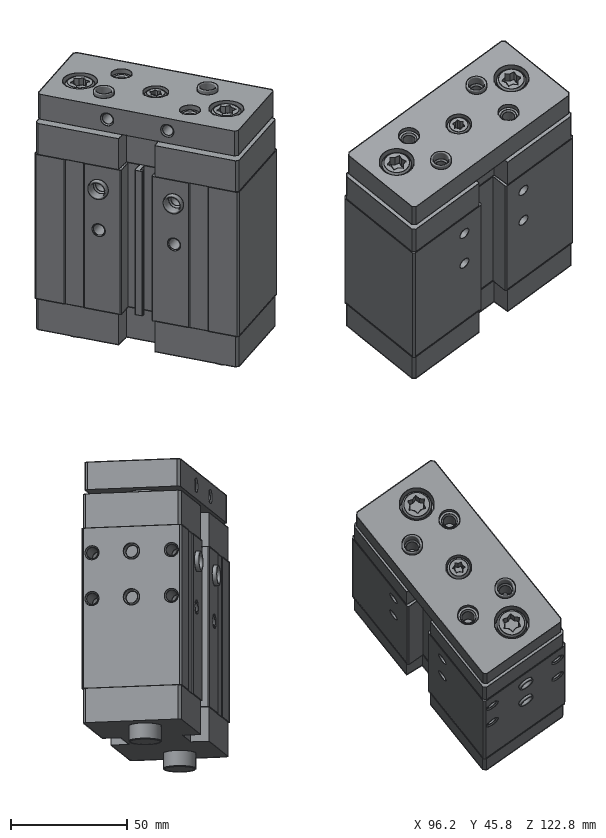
import cadquery as cq
import math


ROD_OVERHANG = 7.0
END_HEIGHT = 15.0
BODY_HEIGHT = 70.0
YOKE_GAP = 2.0
YOKE_HEIGHT = 12.0
HOUSING_BOTTOM = ROD_OVERHANG
BODY_BOTTOM = HOUSING_BOTTOM + END_HEIGHT
BODY_TOP = BODY_BOTTOM + BODY_HEIGHT
HOUSING_TOP = BODY_TOP + END_HEIGHT
YOKE_BOTTOM = HOUSING_TOP + YOKE_GAP
YOKE_TOP = YOKE_BOTTOM + YOKE_HEIGHT

BODY_X = 95.0
BODY_Y = 44.0
BODY_CHAMFER = 0.9
END_INSET = 0.4
END_X = BODY_X - 2 * END_INSET
END_Y = BODY_Y - 2 * END_INSET
CORNER_CHAMFER = 1.2
BODY_CHANNEL_DEPTH = 8.0
END_CHANNEL_DEPTH = 8.4
BODY_CHANNEL_WIDTH = 14.2
LIP_CHAMFER = 0.5
END_CHANNEL_MOUTH = 17.0
END_CHANNEL_FLOOR = 16.0
RIB_WIDTH = 3.7
RIB_WEB = 2.2
RIB_FLANGE = 1.4
RIB_SETBACK = 2.6
RIB_CHAMFER = 0.4
GROOVE_X = 28.9
GROOVE_MOUTH = 9.3
GROOVE_DEPTH = 0.5

UPPER_HOLE_DROP = 10.9
UPPER_HOLE_Z = BODY_TOP - UPPER_HOLE_DROP
HOLE_PITCH = 20.0
LOWER_HOLE_Z = UPPER_HOLE_Z - HOLE_PITCH
HOLE_ROWS = (UPPER_HOLE_Z, LOWER_HOLE_Z)
SIDE_HOLE_SPACING = 35.0
FRONT_HOLE_X = SIDE_HOLE_SPACING / 2
SIDE_HOLE_Y = SIDE_HOLE_SPACING / 2
THREAD_DIA = 5.3
THREAD_MOUTH_DIA = 6.1
SEAT_MOUTH_DIA = 6.8
SIDE_HOLE_DEPTH = 12.3
BLIND_HOLE_DIA = 4.9
TIP_ANGLE = 118

YOKE_X = 93.0
YOKE_Y = 42.0
YOKE_HOLE_X = HOLE_PITCH
YOKE_HOLE_Y = HOLE_PITCH / 2
EDGE_HOLE_X = 14.0
EDGE_HOLE_DEPTH = 8.6
PISTON_ROD_DIA = 10.0
CENTRE_SCREW_RECESS_DIA = 11.0
CENTRE_SCREW_DIA = 10.0
CENTRE_SCREW_TOP_DIA = 8.0
CENTRE_SCREW_SETBACK = 0.5
CENTRE_RECESS_DEPTH = 6.1
CENTRE_SOCKET_DIA = 5.3

ROD_X = 34.0
ROD_Y = -3.0
ROD_DIA = 14.0
ROD_END_CHAMFER = 0.4
NECK_DIA = 8.0
HEAD_DIA = 12.8
HEAD_TOP_DIA = 11.0
HEAD_RECESS_DIA = 15.0
HEAD_RECESS_DEPTH = 8.0
HEAD_SETBACK = 0.5
ROD_SOCKET_DIA = 8.2
SOCKET_DEPTH = 4.9
SOCKET_LOBES = 6
SOCKET_VALLEY_RATIO = 0.72

LARGE_SLEEVE_DIA = 9.0
LARGE_SLEEVE_BORE = 6.8
LARGE_SEAT_DEPTH = 2.2
LARGE_PROJECTION = 1.8
SMALL_SLEEVE_DIA = 7.0
SMALL_SLEEVE_BORE = 5.6
SMALL_SEAT_DEPTH = 1.8
SMALL_PROJECTION = 1.2


def chamfered_block(size_x, size_y, bottom, height, chamfer):
    """Box centred on Z with its four upright corners chamfered."""
    block = cq.Workplane("XY").workplane(offset=bottom).rect(size_x, size_y).extrude(height)
    return block.edges("|Z").chamfer(chamfer)


def axis_plane(origin, direction):
    """Plane whose normal is the axis of a hole or sleeve."""
    x_axis = (1, 0, 0) if direction[0] == 0 else (0, 1, 0)
    return cq.Plane(origin=origin, xDir=x_axis, normal=direction)


def placed_on_axis(section, origin, direction):
    """Section in (radius, distance) coordinates turned into a solid about the given axis."""
    solid = section.revolve(360, (0, 0, 0), (0, 1, 0)).val()
    return cq.Workplane(solid.moved(cq.Location(axis_plane(origin, direction))))


def turned(origin, direction, profile):
    """Solid of revolution from (radius, distance along the axis) points."""
    section = cq.Workplane("XZ").polyline(profile).close()
    return placed_on_axis(section, origin, direction)


def drilled(origin, direction, dia, depth, mouth_dia):
    """Cutter for a hole with a 45-degree mouth chamfer and a drill tip."""
    radius = dia / 2
    mouth = mouth_dia / 2
    tip_length = radius / math.tan(math.radians(TIP_ANGLE / 2))
    profile = [(0, 0), (mouth, 0), (radius, mouth - radius), (radius, depth), (0, depth + tip_length)]
    return turned(origin, direction, profile)


def bored(origin, direction, dia, depth):
    """Plain cylinder from the origin along the direction."""
    return cq.Workplane(axis_plane(origin, direction)).circle(dia / 2).extrude(depth)


def seated_hole(origin, direction, depth):
    """Cutter for a fastening hole that starts at the bottom of a large sleeve seat."""
    seat = bored(origin, direction, LARGE_SLEEVE_DIA, LARGE_SEAT_DEPTH)
    start = axis_plane(origin, direction).toWorldCoords((0, 0, LARGE_SEAT_DEPTH))
    return seat.union(drilled(start, direction, THREAD_DIA, depth, SEAT_MOUTH_DIA))


def star_socket(x, y, top, tip_dia, first_angle):
    """Cutter for a six-pointed screw socket."""
    tip_radius = tip_dia / 2
    valley_radius = tip_radius * SOCKET_VALLEY_RATIO
    point_count = 2 * SOCKET_LOBES
    points = []
    for index in range(point_count):
        radius = tip_radius if index % 2 == 0 else valley_radius
        angle = math.radians(first_angle + 360 * index / point_count)
        points.append((x + radius * math.cos(angle), y + radius * math.sin(angle)))
    return cq.Workplane("XY").workplane(offset=top).polyline(points).close().extrude(-SOCKET_DEPTH)


def end_channel(bottom):
    """Central channel in the -Y face of an end section, tapering from its mouth to its floor."""
    floor_y = -BODY_Y / 2 + END_CHANNEL_DEPTH
    outline = [
        (-END_CHANNEL_MOUTH / 2, -END_Y / 2),
        (END_CHANNEL_MOUTH / 2, -END_Y / 2),
        (END_CHANNEL_FLOOR / 2, floor_y),
        (-END_CHANNEL_FLOOR / 2, floor_y),
    ]
    return cq.Workplane("XY").workplane(offset=bottom).polyline(outline).close().extrude(END_HEIGHT)


def both_faces(cutter):
    """The cutter together with its mirror image on the opposite Y face."""
    return cutter.union(cutter.mirror("XZ"))


def end_section(bottom):
    """Stepped-in housing end with its two central channels."""
    block = chamfered_block(END_X, END_Y, bottom, END_HEIGHT, CORNER_CHAMFER)
    return block.cut(both_faces(end_channel(bottom)))


def body_channel():
    """Straight-sided channel of the middle section with chamfered lips."""
    face_y = BODY_Y / 2
    half = BODY_CHANNEL_WIDTH / 2
    lip = half + LIP_CHAMFER
    floor_y = -face_y + BODY_CHANNEL_DEPTH
    lip_y = -face_y + LIP_CHAMFER
    outline = [
        (-lip, -face_y),
        (lip, -face_y),
        (half, lip_y),
        (half, floor_y),
        (-half, floor_y),
        (-half, lip_y),
    ]
    return cq.Workplane("XY").workplane(offset=BODY_BOTTOM).polyline(outline).close().extrude(BODY_HEIGHT)


def channel_rib():
    """L-section rib standing on the floor of the front channel."""
    front = -BODY_Y / 2 + RIB_SETBACK
    floor_y = -BODY_Y / 2 + BODY_CHANNEL_DEPTH
    left = -RIB_WIDTH / 2
    right = RIB_WIDTH / 2
    outline = [
        (left, floor_y),
        (left, front + RIB_CHAMFER),
        (left + RIB_CHAMFER, front),
        (right - RIB_CHAMFER, front),
        (right, front + RIB_CHAMFER),
        (right, front + RIB_FLANGE),
        (left + RIB_WEB, front + RIB_FLANGE),
        (left + RIB_WEB, floor_y),
    ]
    return cq.Workplane("XY").workplane(offset=BODY_BOTTOM).polyline(outline).close().extrude(BODY_HEIGHT)


def groove_cutter(x):
    """Shallow flat-bottomed groove with 45-degree sides in the front face."""
    face_y = -BODY_Y / 2
    half_mouth = GROOVE_MOUTH / 2
    half_floor = half_mouth - GROOVE_DEPTH
    outline = [
        (x - half_mouth, face_y),
        (x + half_mouth, face_y),
        (x + half_floor, face_y + GROOVE_DEPTH),
        (x - half_floor, face_y + GROOVE_DEPTH),
    ]
    return cq.Workplane("XY").workplane(offset=BODY_BOTTOM).polyline(outline).close().extrude(BODY_HEIGHT)


def make_housing():
    """Housing with channels, grooves, rod bores, fastening holes and sleeve seats."""
    body = chamfered_block(BODY_X, BODY_Y, BODY_BOTTOM, BODY_HEIGHT, BODY_CHAMFER)
    body = body.cut(both_faces(body_channel())).union(channel_rib())
    for side in (-1, 1):
        body = body.cut(groove_cutter(side * GROOVE_X))
    housing = body.union(end_section(HOUSING_BOTTOM)).union(end_section(BODY_TOP))

    rod_length = HOUSING_TOP - HOUSING_BOTTOM
    for side in (-1, 1):
        housing = housing.cut(bored((side * ROD_X, ROD_Y, HOUSING_BOTTOM), (0, 0, 1), ROD_DIA, rod_length))
    housing = housing.cut(bored((0, 0, BODY_TOP), (0, 0, 1), PISTON_ROD_DIA, END_HEIGHT))

    for side in (-1, 1):
        upper = (side * FRONT_HOLE_X, -BODY_Y / 2, UPPER_HOLE_Z)
        lower = (side * FRONT_HOLE_X, -BODY_Y / 2, LOWER_HOLE_Z)
        housing = housing.cut(seated_hole(upper, (0, 1, 0), BODY_Y))
        housing = housing.cut(drilled(lower, (0, 1, 0), THREAD_DIA, BODY_Y, THREAD_MOUTH_DIA))
    for z in HOLE_ROWS:
        seat = (-BODY_X / 2, 0, z)
        housing = housing.cut(bored(seat, (1, 0, 0), SMALL_SLEEVE_DIA, SMALL_SEAT_DEPTH))
        for side in (-1, 1):
            left = (-BODY_X / 2, side * SIDE_HOLE_Y, z)
            hole = drilled(left, (1, 0, 0), BLIND_HOLE_DIA, SIDE_HOLE_DEPTH, THREAD_MOUTH_DIA)
            housing = housing.cut(hole)
    return housing


def centre_screw_head():
    """Head of the piston rod screw, which fills the lower part of its recess."""
    top = YOKE_TOP - CENTRE_SCREW_SETBACK
    bevel = (CENTRE_SCREW_DIA - CENTRE_SCREW_TOP_DIA) / 2
    height = CENTRE_RECESS_DEPTH - CENTRE_SCREW_SETBACK
    profile = [
        (0, 0),
        (CENTRE_SCREW_TOP_DIA / 2, 0),
        (CENTRE_SCREW_DIA / 2, bevel),
        (CENTRE_SCREW_DIA / 2, height),
        (0, height),
    ]
    head = turned((0, 0, top), (0, 0, -1), profile)
    return head.cut(star_socket(0, 0, top, CENTRE_SOCKET_DIA, 0))


def make_yoke():
    """Yoke plate with its piston rod and centre screw."""
    yoke = chamfered_block(YOKE_X, YOKE_Y, YOKE_BOTTOM, YOKE_HEIGHT, CORNER_CHAMFER)
    for x_side in (-1, 1):
        for y_side in (-1, 1):
            top = (x_side * YOKE_HOLE_X, y_side * YOKE_HOLE_Y, YOKE_TOP)
            yoke = yoke.cut(seated_hole(top, (0, 0, -1), YOKE_HEIGHT))
        mouth = (x_side * EDGE_HOLE_X, -YOKE_Y / 2, YOKE_BOTTOM + YOKE_HEIGHT / 2)
        yoke = yoke.cut(drilled(mouth, (0, 1, 0), BLIND_HOLE_DIA, EDGE_HOLE_DEPTH, THREAD_MOUTH_DIA))
        recess = (x_side * ROD_X, ROD_Y, YOKE_TOP)
        yoke = yoke.cut(bored(recess, (0, 0, -1), HEAD_RECESS_DIA, HEAD_RECESS_DEPTH))
        yoke = yoke.cut(bored(recess, (0, 0, -1), NECK_DIA, YOKE_HEIGHT))
    yoke = yoke.cut(bored((0, 0, YOKE_TOP), (0, 0, -1), CENTRE_SCREW_RECESS_DIA, CENTRE_RECESS_DEPTH))
    yoke = yoke.union(centre_screw_head())
    return yoke.union(bored((0, 0, YOKE_BOTTOM), (0, 0, -1), PISTON_ROD_DIA, YOKE_BOTTOM - BODY_TOP))


def make_guide_rod(x):
    """Guide rod with a neck through the yoke and a screw head in the yoke recess."""
    head_top = YOKE_TOP - HEAD_SETBACK
    head_bottom = YOKE_TOP - HEAD_RECESS_DEPTH
    bevel = (HEAD_DIA - HEAD_TOP_DIA) / 2
    profile = [
        (0, 0),
        (ROD_DIA / 2 - ROD_END_CHAMFER, 0),
        (ROD_DIA / 2, ROD_END_CHAMFER),
        (ROD_DIA / 2, YOKE_BOTTOM),
        (NECK_DIA / 2, YOKE_BOTTOM),
        (NECK_DIA / 2, head_bottom),
        (HEAD_DIA / 2, head_bottom),
        (HEAD_DIA / 2, head_top - bevel),
        (HEAD_TOP_DIA / 2, head_top),
        (0, head_top),
    ]
    rod = turned((x, ROD_Y, 0), (0, 0, 1), profile)
    return rod.cut(star_socket(x, ROD_Y, head_top, ROD_SOCKET_DIA, 90))


def make_sleeve(origin, direction, dia, bore, seat_depth, projection):
    """Round-rimmed locating sleeve seated below the origin and projecting along the direction."""
    inner = bore / 2
    outer = dia / 2
    rim_radius = (outer - inner) / 2
    rim_start = projection - rim_radius
    section = (
        cq.Workplane("XZ")
        .moveTo(inner, -seat_depth)
        .lineTo(outer, -seat_depth)
        .lineTo(outer, rim_start)
        .threePointArc((inner + rim_radius, projection), (inner, rim_start))
        .close()
    )
    return placed_on_axis(section, origin, direction)


def make_large_sleeve(origin, direction):
    """Sleeve for the yoke and the housing front."""
    return make_sleeve(
        origin, direction, LARGE_SLEEVE_DIA, LARGE_SLEEVE_BORE, LARGE_SEAT_DEPTH, LARGE_PROJECTION
    )


def make_small_sleeve(origin, direction):
    """Sleeve for the housing side."""
    return make_sleeve(
        origin, direction, SMALL_SLEEVE_DIA, SMALL_SLEEVE_BORE, SMALL_SEAT_DEPTH, SMALL_PROJECTION
    )


housing = make_housing()
yoke = make_yoke()
guide_rods = [make_guide_rod(side * ROD_X) for side in (-1, 1)]
yoke_sleeves = [
    make_large_sleeve((side * YOKE_HOLE_X, side * YOKE_HOLE_Y, YOKE_TOP), (0, 0, 1)) for side in (-1, 1)
]
front_sleeves = [
    make_large_sleeve((side * FRONT_HOLE_X, -BODY_Y / 2, UPPER_HOLE_Z), (0, -1, 0)) for side in (-1, 1)
]
side_sleeves = [make_small_sleeve((-BODY_X / 2, 0, z), (-1, 0, 0)) for z in HOLE_ROWS]

bodies = [housing, yoke, *guide_rods, *yoke_sleeves, *front_sleeves, *side_sleeves]
result = cq.Compound.makeCompound([body.val() for body in bodies])